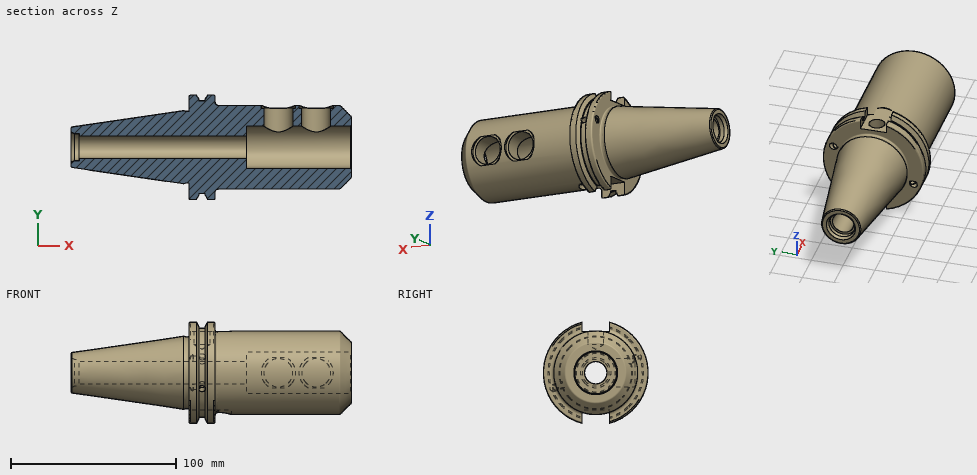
import cadquery as cq
import math


gauge_diameter = 44.45
taper_ratio = 7 / 24
shank_length = 68.25
shank_end_chamfer = 0.6
neck_diameter = 43.6
neck_start = 1.5
neck_fillet = 0.7

flange_diameter = 63.5
flange_start = 3.18
flange_end = 19.05
flange_fillet = 1.0
groove_center = 11.11
groove_floor_diameter = 56.4
groove_floor_width = 3.5
groove_mouth_width = 6.7
groove_wall_angle = 30

body_diameter = 50.8
nose_x = 101.6
nose_chamfer = 7.0
nose_fillet = 1.3
body_fillet = 2.0

knob_thread_diameter = 13.39
pilot_diameter = 16.3
pilot_mouth_diameter = 18.3
pilot_mouth_depth = 2.0
pilot_depth = 4.9
tool_bore_diameter = 25.4
tool_mouth_diameter = 26.6
tool_bore_depth = 63.5

slot_width = 16.4
slot_end = 28.9
top_slot_floor = 25.0
bottom_slot_floor = 22.6
drill_hole_diameter = 9.53
drill_hole_depth = 8.0
drill_tip_angle = 118

screw_hole_diameter = 17.32
screw_mouth_diameter = 20.7
screw_positions = (57.3, 80.2)
screw_mouth_floor = 23.7

coolant_angle = 20
coolant_circle_radius = 26.9
coolant_tilt = 30
coolant_mouth_diameter = 4.2
coolant_mouth_depth = 2.0
coolant_hole_diameter = 3.24
cross_hole_diameter = 4.0
cross_hole_floor = 21.0

flange_radius = flange_diameter / 2
body_radius = body_diameter / 2


def cylinder(diameter, start, direction, length):
    solid = cq.Solid.makeCylinder(diameter / 2, length, cq.Vector(*start), cq.Vector(*direction))
    return cq.Workplane(solid)


def cone(start_diameter, end_diameter, start, direction, length):
    start_radius = start_diameter / 2
    end_radius = end_diameter / 2
    solid = cq.Solid.makeCone(start_radius, end_radius, length, cq.Vector(*start), cq.Vector(*direction))
    return cq.Workplane(solid)


def arc_midpoint(center, radius, angle):
    """Point on a circle in the X-radius plane, angle in degrees."""
    turn = math.radians(angle)
    return (center[0] + radius * math.cos(turn), center[1] + radius * math.sin(turn))


def turned_blank():
    gauge_radius = gauge_diameter / 2
    neck_radius = neck_diameter / 2
    small_radius = gauge_radius - shank_length * taper_ratio / 2
    chamfered_radius = small_radius + shank_end_chamfer * taper_ratio / 2

    floor_radius = groove_floor_diameter / 2
    wall_run = (groove_mouth_width - groove_floor_width) / 2
    wall_foot_radius = flange_radius - wall_run / math.tan(math.radians(groove_wall_angle))
    floor_left = groove_center - groove_floor_width / 2
    floor_right = groove_center + groove_floor_width / 2

    neck_arc = (flange_start - neck_fillet, neck_radius + neck_fillet)
    front_arc = (flange_start + flange_fillet, flange_radius - flange_fillet)
    back_arc = (flange_end - flange_fillet, flange_radius - flange_fillet)
    body_arc = (flange_end + body_fillet, body_radius + body_fillet)

    edge_turn = 45
    nose_tangent = nose_fillet * math.tan(math.radians(edge_turn / 2))
    diagonal_tangent = nose_tangent * math.cos(math.radians(edge_turn))
    cone_start = nose_x - nose_chamfer
    face_radius = body_radius - nose_chamfer
    shoulder_arc = (cone_start - nose_tangent, body_radius - nose_fillet)
    face_arc = (nose_x - nose_fillet, face_radius - nose_tangent)

    outline = (
        cq.Workplane("XY")
        .moveTo(-shank_length, 0)
        .lineTo(-shank_length, small_radius - shank_end_chamfer)
        .lineTo(-shank_length + shank_end_chamfer, chamfered_radius)
        .lineTo(0, gauge_radius)
        .lineTo(neck_start, neck_radius)
        .lineTo(neck_arc[0], neck_radius)
        .threePointArc(arc_midpoint(neck_arc, neck_fillet, -45), (flange_start, neck_arc[1]))
        .lineTo(flange_start, front_arc[1])
        .threePointArc(arc_midpoint(front_arc, flange_fillet, 135), (front_arc[0], flange_radius))
        .lineTo(floor_left - wall_run, flange_radius)
        .lineTo(floor_left, wall_foot_radius)
        .lineTo(floor_left, floor_radius)
        .lineTo(floor_right, floor_radius)
        .lineTo(floor_right, wall_foot_radius)
        .lineTo(floor_right + wall_run, flange_radius)
        .lineTo(back_arc[0], flange_radius)
        .threePointArc(arc_midpoint(back_arc, flange_fillet, 45), (flange_end, back_arc[1]))
        .lineTo(flange_end, body_arc[1])
        .threePointArc(arc_midpoint(body_arc, body_fillet, -135), (body_arc[0], body_radius))
        .lineTo(shoulder_arc[0], body_radius)
        .threePointArc(
            arc_midpoint(shoulder_arc, nose_fillet, 90 - edge_turn / 2),
            (cone_start + diagonal_tangent, body_radius - diagonal_tangent),
        )
        .lineTo(nose_x - diagonal_tangent, face_radius + diagonal_tangent)
        .threePointArc(arc_midpoint(face_arc, nose_fillet, edge_turn / 2), (nose_x, face_arc[1]))
        .lineTo(nose_x, 0)
        .close()
    )
    return outline.revolve(360, (0, 0, 0), (1, 0, 0))


def axial_bores():
    rear = (-shank_length, 0, 0)
    nose = (nose_x, 0, 0)
    tool_chamfer = (tool_mouth_diameter - tool_bore_diameter) / 2
    bores = cylinder(knob_thread_diameter, rear, (1, 0, 0), shank_length + nose_x)
    bores = bores.union(cylinder(pilot_diameter, rear, (1, 0, 0), pilot_depth))
    bores = bores.union(cone(pilot_mouth_diameter, pilot_diameter, rear, (1, 0, 0), pilot_mouth_depth))
    bores = bores.union(cylinder(tool_bore_diameter, nose, (-1, 0, 0), tool_bore_depth))
    return bores.union(cone(tool_mouth_diameter, tool_bore_diameter, nose, (-1, 0, 0), tool_chamfer))


def drive_slot(floor, side):
    """Slot with a full-round end; side is +1 for the +Z slot and -1 for the -Z slot."""
    end_center = slot_end - slot_width / 2
    height = flange_radius - floor
    return (
        cq.Workplane("XY")
        .workplane(offset=side * floor)
        .moveTo(0, -slot_width / 2)
        .lineTo(end_center, -slot_width / 2)
        .threePointArc((slot_end, 0), (end_center, slot_width / 2))
        .lineTo(0, slot_width / 2)
        .close()
        .extrude(side * height)
    )


def drill_hole():
    """Blind hole with a drill point in the floor of the +Z slot."""
    tip_depth = drill_hole_diameter / 2 / math.tan(math.radians(drill_tip_angle / 2))
    mouth = (groove_center, 0, top_slot_floor)
    bottom = (groove_center, 0, top_slot_floor - drill_hole_depth)
    hole = cylinder(drill_hole_diameter, mouth, (0, 0, -1), drill_hole_depth)
    return hole.union(cone(drill_hole_diameter, 0, bottom, (0, 0, -1), tip_depth))


def screw_hole(x):
    outside = (x, body_radius, 0)
    hole = cylinder(screw_hole_diameter, outside, (0, -1, 0), body_radius)
    mouth_depth = body_radius - screw_mouth_floor
    return hole.union(cylinder(screw_mouth_diameter, outside, (0, -1, 0), mouth_depth))


def coolant_holes(angle):
    """Stepped hole slanting inward from the flange face, met by a radial hole from the groove floor."""
    turn = math.radians(angle)
    tilt = math.radians(coolant_tilt)
    outward = cq.Vector(0, math.cos(turn), math.sin(turn))
    along = cq.Vector(1, 0, 0)
    slant = along * math.cos(tilt) - outward * math.sin(tilt)
    entry = along * flange_start + outward * coolant_circle_radius
    slant_length = (groove_center - flange_start) / math.cos(tilt)

    lead_in = coolant_mouth_diameter
    mouth_start = entry - slant * lead_in
    foot = along * groove_center + outward * cross_hole_floor
    mouth_length = lead_in + coolant_mouth_depth
    mouth = cylinder(coolant_mouth_diameter, mouth_start.toTuple(), slant.toTuple(), mouth_length)
    slanted = cylinder(coolant_hole_diameter, entry.toTuple(), slant.toTuple(), slant_length)
    radial_length = flange_radius - cross_hole_floor
    radial = cylinder(cross_hole_diameter, foot.toTuple(), outward.toTuple(), radial_length)
    return mouth.union(slanted).union(radial)


result = turned_blank().cut(axial_bores())
result = result.cut(drive_slot(top_slot_floor, 1)).cut(drive_slot(bottom_slot_floor, -1))
result = result.cut(drill_hole())
for position in screw_positions:
    result = result.cut(screw_hole(position))
for opposite in (0, 180):
    result = result.cut(coolant_holes(coolant_angle + opposite))